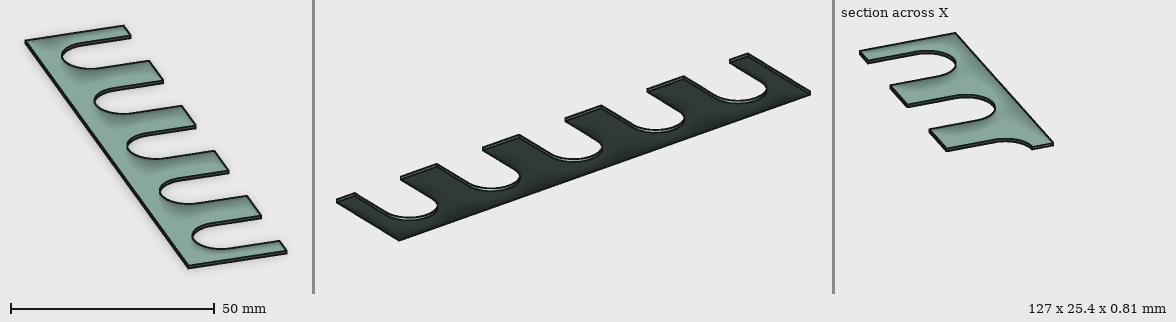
import cadquery as cq

slot_count = 5
length = 127.0
depth = 25.4
thickness = 0.81
slot_width = 14.2
web = 5.6

pitch = length / slot_count
slot_radius = slot_width / 2
arc_center_y = -depth / 2 + web + slot_radius


def slot_cutter(center_x):
    """Round-bottomed slot running from its arc out through the back edge."""
    return (
        cq.Workplane("XY")
        .moveTo(center_x - slot_radius, depth / 2)
        .lineTo(center_x - slot_radius, arc_center_y)
        .threePointArc(
            (center_x, arc_center_y - slot_radius),
            (center_x + slot_radius, arc_center_y),
        )
        .lineTo(center_x + slot_radius, depth / 2)
        .close()
        .extrude(thickness)
    )


result = cq.Workplane("XY").box(length, depth, thickness, centered=(True, True, False))
for index in range(slot_count):
    slot_x = (index - (slot_count - 1) / 2) * pitch
    result = result.cut(slot_cutter(slot_x))